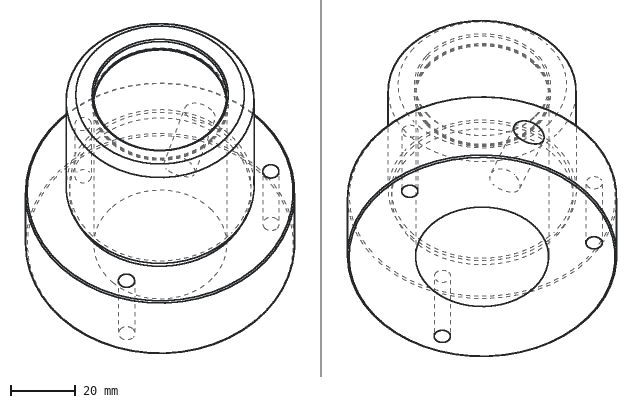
import cadquery as cq

total_height = 80.0
flange_height = 28.0
neck_height = 3.0

flange_diameter = 83.0
body_diameter = 58.0
neck_diameter = 56.0

body_chamfer = 3.0
flange_chamfer = 0.5

bore_diameter = 41.0
mouth_chamfer = 0.5
groove_width = 0.5
groove_depth = 0.5
groove_top = total_height - 4.5

mounting_hole_count = 3
mounting_hole_diameter = 5.0
bolt_circle_diameter = 70.0
first_hole_angle = -90.0

port_diameter = 10.0
port_height = flange_height / 2


def disc(diameter, bottom, height):
    """Cylinder on the Z axis standing on the given level."""
    return cq.Workplane("XY").workplane(offset=bottom).circle(diameter / 2).extrude(height)


def make_flange():
    """Base disc with both rims chamfered."""
    flange = disc(flange_diameter, 0, flange_height)
    return flange.edges().chamfer(flange_chamfer)


def make_body():
    """Upper sleeve with a chamfered top, standing on a narrower relief neck."""
    body_bottom = flange_height + neck_height
    neck = disc(neck_diameter, flange_height, neck_height)
    body = disc(body_diameter, body_bottom, total_height - body_bottom)
    return neck.union(body.faces(">Z").edges().chamfer(body_chamfer))


def make_bore():
    """Through bore with its upper mouth cone and internal groove."""
    bore = disc(bore_diameter, 0, total_height)
    groove = disc(bore_diameter + 2 * groove_depth, groove_top - groove_width, groove_width)
    mouth = (
        cq.Workplane("XY")
        .workplane(offset=total_height)
        .circle(bore_diameter / 2 + mouth_chamfer)
        .workplane(offset=-mouth_chamfer)
        .circle(bore_diameter / 2)
        .loft()
    )
    return bore.union(groove).union(mouth)


def make_mounting_holes():
    """Equally spaced cylinders on the bolt circle, one of them at -Y."""
    return (
        cq.Workplane("XY")
        .polarArray(bolt_circle_diameter / 2, first_hole_angle, 360, mounting_hole_count)
        .circle(mounting_hole_diameter / 2)
        .extrude(flange_height)
    )


def make_port():
    """Radial hole from the +Y rim of the flange into the bore."""
    return (
        cq.Workplane("XZ")
        .center(0, port_height)
        .circle(port_diameter / 2)
        .extrude(-flange_diameter / 2)
    )


solid = make_flange().union(make_body())
result = solid.cut(make_bore()).cut(make_mounting_holes()).cut(make_port())